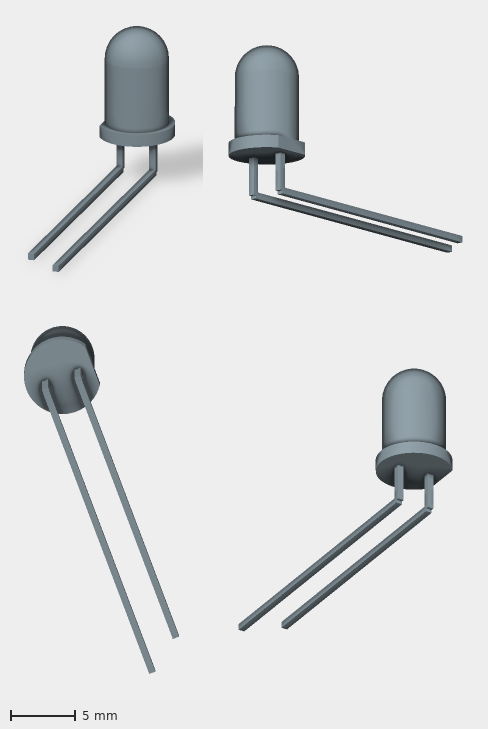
import cadquery as cq

case_radius = 2.5
case_height = 5.3
flange_radius = 3.0
flange_height = 1.0
flat_offset = case_radius

wire_width = 0.5
lead_spacing = 2.7
post_length = 3.0
short_leg_length = 22.0
long_leg_length = 24.0
leads = [
    (-lead_spacing / 2, short_leg_length),
    (lead_spacing / 2, long_leg_length),
]


def make_housing():
    """Flange, case and dome as one solid."""
    flange_width = flat_offset + flange_radius
    flange_outline = cq.Workplane("XY").box(
        flange_width, 2 * flange_radius, flange_height, centered=(False, True, False)
    ).translate((-flat_offset, 0, 0))
    flange = cq.Workplane("XY").circle(flange_radius).extrude(flange_height).intersect(flange_outline)

    dome_base = flange_height + case_height
    case = (
        cq.Workplane("XZ")
        .moveTo(0, flange_height)
        .lineTo(case_radius, flange_height)
        .lineTo(case_radius, dome_base)
        .radiusArc((0, dome_base + case_radius), -case_radius)
        .close()
        .revolve(360, (0, 0, 0), (0, 1, 0))
    )
    return flange.union(case)


def make_leg(x, length):
    """Horizontal wire from the post axis toward -Y, centred on the post's lower end."""
    return cq.Workplane("XY").box(wire_width, length, wire_width).translate((x, -length / 2, -post_length))


def make_post(x, leg):
    """Vertical wire below the flange, notched at its lower front edge to seat the leg."""
    post = cq.Workplane("XY").center(x, 0).rect(wire_width, wire_width).extrude(-post_length)
    return post.cut(leg)


housing = make_housing()
legs = []
posts = []
for lead_x, leg_length in leads:
    leg = make_leg(lead_x, leg_length)
    legs.append(leg.val())
    posts.append(make_post(lead_x, leg).val())

result = cq.Compound.makeCompound([housing.val(), *posts, *legs])